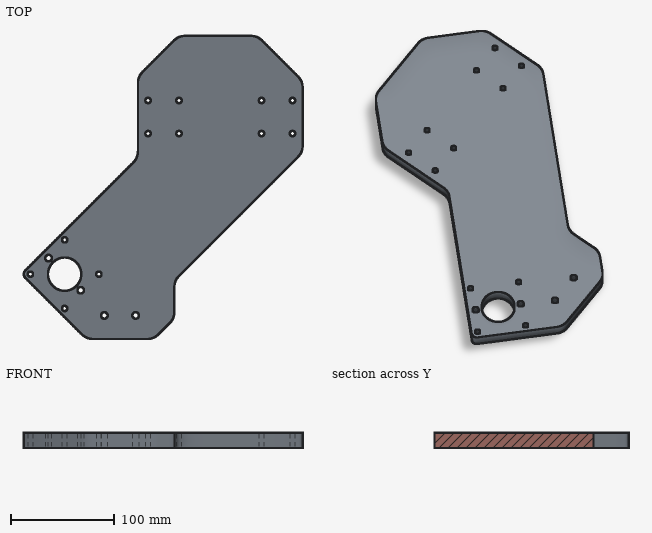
import cadquery as cq
import math

thickness = 15.0

top_y = 231.0
bottom_y = top_y - 294.0
head_right_x = 230.8
head_width = 160.0
head_left_x = head_right_x - head_width
foot_right_x = 106.5

tip_offset = 41.7
arm_right_offset = 112.5

head_left_cut = 39.7
head_right_cut = 44.0
foot_cut = 20.0

corner_radius = 15.0
tip_radius = 5.0

bore_diameter = 32.0
bolt_circle_radius = 33.2
small_hole_diameter = 5.0
large_hole_diameter = 6.2
dowel_circle_radius = 22.0
dowel_angle = 135.0
foot_hole_start_x = 38.5
foot_hole_spacing = 30.3
foot_hole_y = -40.0
head_pattern_x = (head_left_x + head_right_x) / 2
head_pattern_y = 152.3
head_group_spacing = 110.0
head_hole_spacing_x = 30.0
head_hole_spacing_y = 32.0


def polar_point(radius, angle):
    """Return the XY point at a radius and angle in degrees about the bore."""
    return (radius * math.cos(math.radians(angle)), radius * math.sin(math.radians(angle)))


def make_plate():
    """Extrude the cranked outline and round its vertical edges."""
    outline = [
        (-tip_offset, 0),
        (head_left_x, head_left_x + tip_offset),
        (head_left_x, top_y - head_left_cut),
        (head_left_x + head_left_cut, top_y),
        (head_right_x - head_right_cut, top_y),
        (head_right_x, top_y - head_right_cut),
        (head_right_x, head_right_x - arm_right_offset),
        (foot_right_x, foot_right_x - arm_right_offset),
        (foot_right_x, bottom_y + foot_cut),
        (foot_right_x - foot_cut, bottom_y),
        (-tip_offset - bottom_y, bottom_y),
    ]
    plate = cq.Workplane("XY").polyline(outline).close().extrude(thickness)
    plate = plate.edges("|Z").edges("<X").fillet(tip_radius)
    for x, y in outline[1:]:
        corner = cq.selectors.NearestToPointSelector((x, y, thickness / 2))
        plate = plate.edges("|Z").edges(corner).fillet(corner_radius)
    return plate


def cut_holes(plate, points, diameter):
    """Cut round through holes at the given XY points."""
    drills = cq.Workplane("XY").pushPoints(points).circle(diameter / 2).extrude(thickness)
    return plate.cut(drills)


bolt_points = [polar_point(bolt_circle_radius, angle) for angle in (0, 90, 180, 270)]
dowel_points = [polar_point(dowel_circle_radius, dowel_angle + turn) for turn in (0, 180)]
foot_points = [(foot_hole_start_x + i * foot_hole_spacing, foot_hole_y) for i in range(2)]

head_points = [
    (
        head_pattern_x + group * head_group_spacing / 2 + column * head_hole_spacing_x / 2,
        head_pattern_y + row * head_hole_spacing_y / 2,
    )
    for group in (-1, 1)
    for column in (-1, 1)
    for row in (-1, 1)
]

result = make_plate()
result = cut_holes(result, [(0, 0)], bore_diameter)
result = cut_holes(result, bolt_points + head_points, small_hole_diameter)
result = cut_holes(result, dowel_points + foot_points, large_hole_diameter)